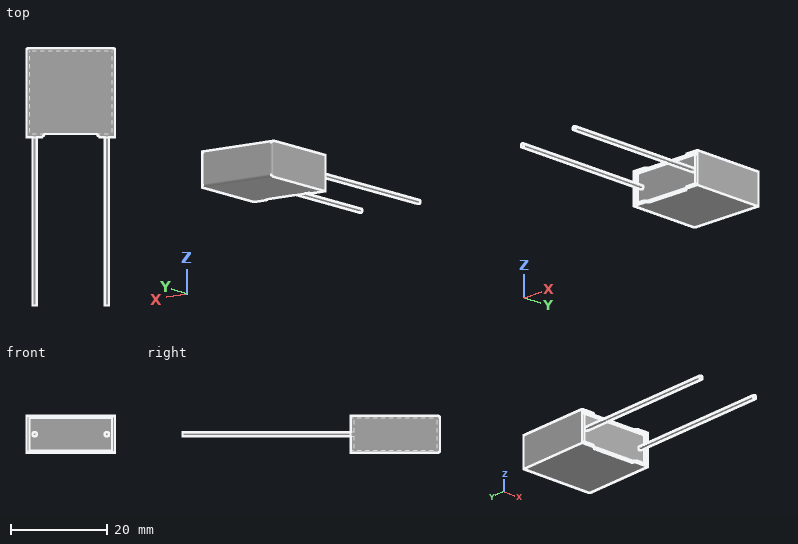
import cadquery as cq


total_length = 53.6
case_width = 18.5
case_length = 18.6
case_height = 7.7
back_edge_radius = 0.55

side_wall = 0.65
flat_wall = 0.5
back_wall = side_wall
rim_depth = 0.65

notch_mouth_width = 12.05
notch_floor_width = 10.7

lead_diameter = 0.9
lead_pitch = 15.0

cavity_width = case_width - 2 * side_wall
cavity_height = case_height - 2 * flat_wall
rim_y = -case_length
potting_face_y = rim_y + rim_depth
potting_length = -back_wall - potting_face_y
lead_length = total_length - case_length + rim_depth


def block_toward_front(width, height, back_y, length):
    """Block centred in X and Z, running from back_y toward -Y."""
    return (
        cq.Workplane("XZ", origin=(0, back_y, 0))
        .rect(width, height)
        .extrude(length)
    )


def make_rim_notch():
    """Trapezoidal cutter through the full height, wider at the rim."""
    return (
        cq.Workplane("XY")
        .polyline([
            (-notch_mouth_width / 2, rim_y),
            (-notch_floor_width / 2, potting_face_y),
            (notch_floor_width / 2, potting_face_y),
            (notch_mouth_width / 2, rim_y),
        ])
        .close()
        .extrude(case_height / 2, both=True)
    )


def make_case():
    """Rounded-back shell with an open front and two notched walls."""
    shell = block_toward_front(case_width, case_height, 0, case_length)
    shell = shell.faces(">Y").edges().fillet(back_edge_radius)
    cavity = block_toward_front(
        cavity_width, cavity_height, -back_wall, case_length - back_wall
    )
    return shell.cut(cavity).cut(make_rim_notch())


def make_potting():
    """Block filling the cavity up to the floor of the notches."""
    return block_toward_front(cavity_width, cavity_height, -back_wall, potting_length)


def make_lead(x):
    """Straight round wire standing on the potting face."""
    return (
        cq.Workplane("XZ", origin=(x, potting_face_y, 0))
        .circle(lead_diameter / 2)
        .extrude(lead_length)
    )


case = make_case()
potting = make_potting()
leads = [make_lead(side * lead_pitch / 2) for side in (-1, 1)]

result = cq.Compound.makeCompound(
    [case.val(), potting.val(), *[lead.val() for lead in leads]]
)